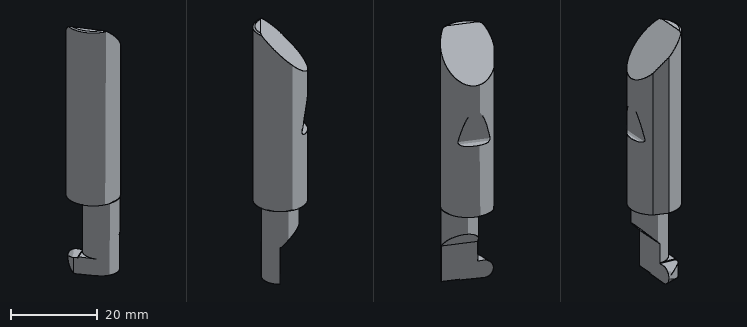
import cadquery as cq
import math

total_length = 63.41
shank_diameter = 12.7
shank_bottom = 18.97
neck_diameter = 8.75
neck_bottom = 0.35

rim_bevel_radial = 0.5
rim_bevel_axial = 0.2
slope_foot = 52.55
side_flat_top_y = 3.7
notch_floor = 37.15
notch_top = 46.0
notch_angle = 9.5
notch_fillet = 0.9

runout_start = 9.5

tip_x = -6.2
tip_height = 4.5
rear_center_x = -2.7
side_clearance = 0.15
back_clearance = 0.15
facet_end_x = -3.5
end_clearance_radius = 12.0
block_top = 4.62

shank_radius = shank_diameter / 2
neck_radius = neck_diameter / 2
neck_x = shank_radius - neck_radius
neck_left_x = neck_x - neck_radius
tip_radius = tip_height / 2
front_center_x = tip_x + tip_radius
rear_radius = tip_radius - side_clearance


def shank():
    body = (
        cq.Workplane("XY")
        .workplane(offset=shank_bottom)
        .circle(shank_radius)
        .extrude(total_length - shank_bottom)
        .faces(">Z")
        .edges()
        .chamfer(rim_bevel_axial, rim_bevel_radial)
    )
    return body.cut(end_slope()).cut(side_flat()).cut(clamping_notch())


def end_slope():
    """Wedge above the 45 degree plane that falls towards +Y."""
    run = shank_diameter
    return (
        cq.Workplane("YZ")
        .moveTo(shank_radius, slope_foot)
        .lineTo(shank_radius - run, slope_foot + run)
        .lineTo(shank_radius, slope_foot + run)
        .close()
        .extrude(shank_radius, both=True)
    )


def side_flat():
    """Full-length sliver that turns a stretch of the -X side into a flat."""
    flat_top_x = -math.sqrt(shank_radius**2 - side_flat_top_y**2)
    return (
        cq.Workplane("XY")
        .workplane(offset=shank_bottom)
        .moveTo(-shank_radius, 0)
        .lineTo(flat_top_x, side_flat_top_y)
        .lineTo(-shank_radius, side_flat_top_y)
        .close()
        .extrude(total_length - shank_bottom)
    )


def clamping_notch():
    """Shallow inclined flat on the +Y side that ends at a level, rounded floor."""
    depth = (notch_top - notch_floor) * math.tan(math.radians(notch_angle))
    return (
        cq.Workplane("YZ")
        .moveTo(shank_radius, notch_top)
        .lineTo(shank_radius - depth, notch_floor)
        .lineTo(shank_radius, notch_floor)
        .close()
        .extrude(shank_radius, both=True)
        .edges("|X and <Y")
        .fillet(notch_fillet)
    )


def neck():
    column = (
        cq.Workplane("XY")
        .workplane(offset=neck_bottom)
        .center(neck_x, 0)
        .circle(neck_radius)
        .extrude(shank_bottom - neck_bottom)
    )
    relief = (
        cq.Workplane("YZ")
        .moveTo(0, neck_bottom)
        .lineTo(0, runout_start)
        .lineTo(neck_radius, runout_start + neck_radius)
        .lineTo(neck_radius, neck_bottom)
        .close()
        .extrude(shank_radius, both=True)
    )
    return column.cut(relief)


def head_section(y, center_x, radius):
    """Closed XZ outline at a given Y: a half-round tip with sides that narrow towards +X."""
    upper_z = tip_radius + radius
    lower_z = tip_radius - radius
    return (
        cq.Workplane("XZ", origin=(0, y, 0))
        .moveTo(neck_x, lower_z + back_clearance)
        .lineTo(center_x, lower_z)
        .threePointArc((center_x - radius, tip_radius), (center_x, upper_z))
        .lineTo(neck_x, upper_z - back_clearance)
        .close()
        .val()
    )


def cutting_head():
    """Full-radius tip with tapered sides and a curved end clearance, backed by a flat-topped block."""
    tip_form = cq.Workplane(
        cq.Solid.makeLoft(
            [
                head_section(0, front_center_x, tip_radius),
                head_section(-neck_radius, rear_center_x, rear_radius),
            ],
            True,
        )
    )
    plan = (
        cq.Workplane("XY")
        .moveTo(neck_x, 0)
        .lineTo(tip_x, 0)
        .radiusArc((facet_end_x, -neck_radius), -end_clearance_radius)
        .lineTo(neck_x, -neck_radius)
        .close()
        .extrude(block_top)
    )
    block = (
        cq.Workplane("XY")
        .workplane(offset=neck_bottom)
        .moveTo(neck_left_x, 0)
        .lineTo(neck_x, 0)
        .lineTo(neck_x, -neck_radius)
        .lineTo(neck_left_x, -neck_radius)
        .close()
        .extrude(block_top - neck_bottom)
    )
    return tip_form.intersect(plan).union(block)


result = shank().union(neck()).union(cutting_head())